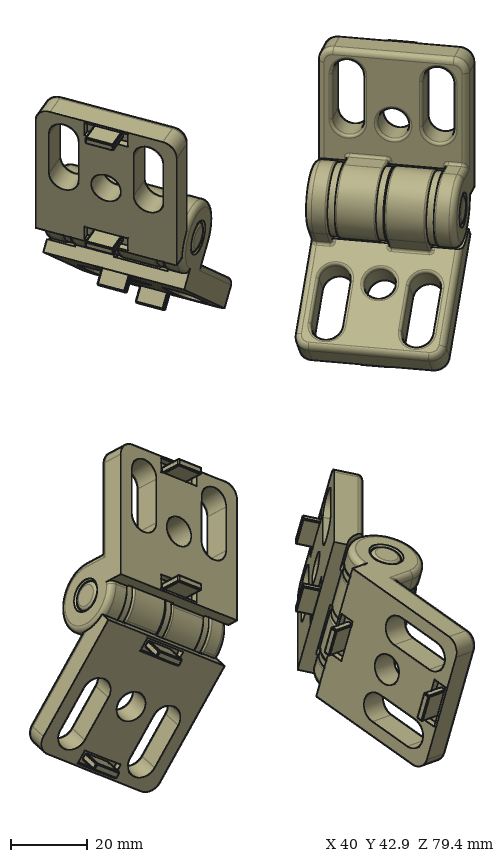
import cadquery as cq
import math

hinge_width = 40.0
half_width = hinge_width / 2
fold_angle = 46.9

mount_offset = 14.0
plate_thickness = 8.0
plate_bottom = 0.7
plate_top = 39.95
corner_radius = 4.0
rim_fillet = 1.7
front_offset = mount_offset - plate_thickness

opening_diameter = 8.4
opening_fillet = 0.8
opening_height = 19.95
slot_spacing = 24.0
slot_travel = 12.8

tab_width = 8.0
tab_thickness = 2.0
tab_reach = 4.5
tab_edge_chamfer = 0.3
tab_inset = 2.63
pocket_width = 12.3
pocket_height = 4.0
pocket_depth = 2.0

knuckle_radius = 10.0
end_knuckle_inner_x = 14.2
mid_knuckle_start_x = 1.1
mid_knuckle_end_x = 12.1
knuckle_side_fillet = 0.5
root_fillet = 0.8
relief_radius = 10.5

pin_radius = 4.1
pin_end_fillet = 1.1
bore_chamfer = 0.5
washer_radius = 9.75
washer_thickness = 1.9

edge_margin = 0.1


def rod_along_x(radius, start_x, end_x):
    """Cylinder on the hinge axis."""
    return cq.Workplane("YZ").workplane(offset=start_x).circle(radius).extrude(end_x - start_x)


def make_plate():
    """Plate with rounded free corners, a rounded front rim and three fixing openings."""
    height = plate_top - plate_bottom
    plate = (
        cq.Workplane("XY")
        .box(hinge_width, plate_thickness, height, centered=(True, False, False))
        .translate((0, -mount_offset, plate_bottom))
        .edges("|Y and >Z")
        .fillet(corner_radius)
    )
    plate = plate.faces(">Y").edges("not <Z").fillet(rim_fillet)

    front = cq.Workplane("XZ").workplane(offset=front_offset)
    slot_middle = opening_height + slot_travel / 2
    slots = (
        front.pushPoints([(-slot_spacing / 2, slot_middle), (slot_spacing / 2, slot_middle)])
        .slot2D(slot_travel + opening_diameter, opening_diameter, 90)
        .extrude(plate_thickness)
    )
    hole = front.center(0, opening_height).circle(opening_diameter / 2).extrude(plate_thickness)
    plate = plate.cut(slots).cut(hole)

    inner_width = slot_spacing + opening_diameter + opening_fillet
    rims = cq.selectors.BoxSelector(
        (-inner_width / 2, -front_offset - edge_margin, opening_height - opening_diameter),
        (inner_width / 2, -front_offset + edge_margin, plate_top - rim_fillet - edge_margin),
    )
    return plate.edges(rims).fillet(opening_fillet)


def add_tab(leaf, height):
    """Locating tab standing in a shallow rectangular pocket of the mounting face."""
    floor = cq.Workplane("XZ", origin=(0, 0, height)).workplane(offset=mount_offset - pocket_depth)
    pocket = floor.rect(pocket_width, pocket_height).extrude(pocket_depth)
    tab = (
        floor.rect(tab_width, tab_thickness)
        .extrude(pocket_depth + tab_reach)
        .edges("not >Y")
        .chamfer(tab_edge_chamfer)
    )
    return leaf.cut(pocket).union(tab)


def make_knuckle(start_x, end_x, start_fillet, end_fillet):
    """Round barrel running tangentially into the plate, its two sides rounded."""
    arc_middle = knuckle_radius * math.sqrt(0.5)
    barrel = (
        cq.Workplane("YZ")
        .workplane(offset=start_x)
        .moveTo(-knuckle_radius, 0)
        .lineTo(-knuckle_radius, knuckle_radius)
        .lineTo(0, knuckle_radius)
        .threePointArc((arc_middle, -arc_middle), (-knuckle_radius, 0))
        .close()
        .extrude(end_x - start_x)
    )
    barrel = barrel.faces("<X").edges().fillet(start_fillet)
    barrel = barrel.faces(">X").edges().fillet(end_fillet)
    return barrel


def make_leaf():
    """One leaf: plate, two tabs and two knuckles, cleared for the other leaf and bored for the pin."""
    leaf = make_plate()
    for tab_height in (plate_bottom + tab_inset, plate_top - tab_inset):
        leaf = add_tab(leaf, tab_height)

    for start_x, end_x in (
        (-end_knuckle_inner_x, mid_knuckle_start_x),
        (mid_knuckle_end_x, half_width),
    ):
        leaf = leaf.cut(rod_along_x(relief_radius, start_x, end_x))

    leaf = leaf.union(make_knuckle(-half_width, -end_knuckle_inner_x, rim_fillet, knuckle_side_fillet))
    leaf = leaf.union(
        make_knuckle(mid_knuckle_start_x, mid_knuckle_end_x, knuckle_side_fillet, knuckle_side_fillet)
    )

    roots = cq.selectors.BoxSelector(
        (-half_width, -front_offset - edge_margin, knuckle_radius - edge_margin),
        (half_width, -front_offset + edge_margin, knuckle_radius + edge_margin),
    )
    leaf = leaf.edges(roots).fillet(root_fillet)

    countersink = (
        cq.Workplane("YZ")
        .workplane(offset=-half_width)
        .circle(pin_radius + bore_chamfer)
        .workplane(offset=bore_chamfer)
        .circle(pin_radius)
        .loft()
    )
    return leaf.cut(rod_along_x(pin_radius, -half_width, half_width)).cut(countersink)


def make_pin():
    """Plain pin with rounded ends."""
    return rod_along_x(pin_radius, -half_width, half_width).edges().fillet(pin_end_fillet)


def make_washer(start_x):
    """Spacer ring on the pin between two neighbouring knuckles."""
    end_x = start_x + washer_thickness
    return rod_along_x(washer_radius, start_x, end_x).cut(rod_along_x(pin_radius, start_x, end_x))


upper_leaf = make_leaf()

lower_leaf = (
    make_leaf()
    .rotate((0, 0, 0), (0, 1, 0), 180)
    .rotate((0, 0, 0), (1, 0, 0), fold_angle)
)

pin = make_pin()

washer_starts = (
    -end_knuckle_inner_x,
    mid_knuckle_start_x - washer_thickness,
    mid_knuckle_end_x,
)
washers = [make_washer(start_x) for start_x in washer_starts]

result = cq.Compound.makeCompound(
    [upper_leaf.val(), lower_leaf.val(), pin.val()] + [washer.val() for washer in washers]
)